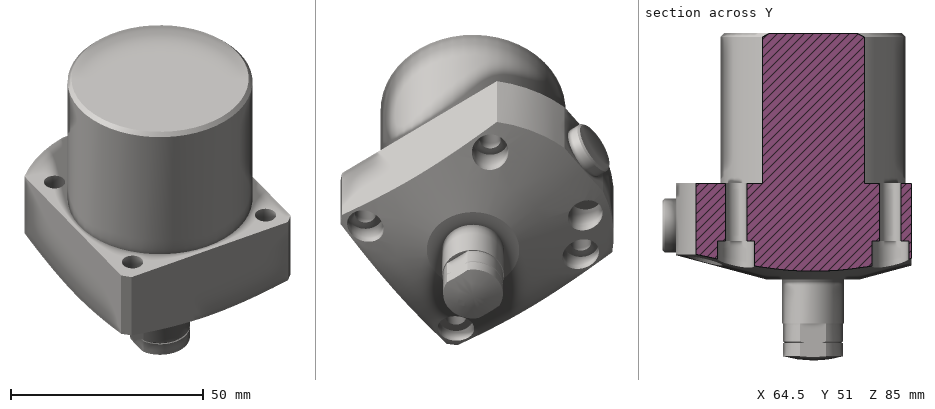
import cadquery as cq
import math


base_height = 25.0
base_half_width = 25.5
base_round_radius = 36.5
base_left = -35.5
base_right = 25.5
base_corner_chamfer = 2.0
cone_flat_radius = 12.0
cone_angle = 15.0
cylinder_diameter = 48.0
cylinder_height = 39.0
cylinder_chamfer = 1.0
hole_diameter = 5.5
hole_pitch = 40.0
counterbore_diameter = 9.5
counterbore_seat_z = 10.0

port_diameter = 9.0
port_x = -28.0
port_y = -11.0
port_end_z = 14.0

plug_diameter = 14.0
plug_length = 3.5
plug_chamfer = 0.5
plug_center_z = 14.0

stem_diameter = 16.0
stem_length = 11.4
nut_diameter = 15.5
flat_width = 14.0
collar_length = 5.1
collar_chamfer = 0.45
nut_length = 4.5
dome_height = 1.1


def make_base_blank():
    corner_x = -math.sqrt(base_round_radius**2 - base_half_width**2)
    left_half_width = math.sqrt(base_round_radius**2 - base_left**2)
    mid_angle = (math.atan2(base_half_width, corner_x) + math.atan2(left_half_width, base_left)) / 2
    arc_x = base_round_radius * math.cos(mid_angle)
    arc_y = base_round_radius * math.sin(mid_angle)
    right_half_width = base_half_width - base_corner_chamfer
    chamfer_x = base_right - base_corner_chamfer
    return (
        cq.Workplane("XY")
        .moveTo(base_left, -left_half_width)
        .threePointArc((arc_x, -arc_y), (corner_x, -base_half_width))
        .lineTo(chamfer_x, -base_half_width)
        .lineTo(base_right, -right_half_width)
        .lineTo(base_right, right_half_width)
        .lineTo(chamfer_x, base_half_width)
        .lineTo(corner_x, base_half_width)
        .threePointArc((arc_x, arc_y), (base_left, left_half_width))
        .close()
        .extrude(base_height)
    )


def make_cone_envelope():
    """Solid of revolution that gives the base its conical underside."""
    outer_radius = 2 * base_half_width
    cone_rise = (outer_radius - cone_flat_radius) * math.tan(math.radians(cone_angle))
    return (
        cq.Workplane("XZ")
        .moveTo(0, 0)
        .lineTo(cone_flat_radius, 0)
        .lineTo(outer_radius, cone_rise)
        .lineTo(outer_radius, base_height)
        .lineTo(0, base_height)
        .close()
        .revolve(360, (0, 0), (0, 1))
    )


def make_hole_pattern(diameter, height):
    """Four vertical round cutters at the bolt positions, rising from Z = 0."""
    return (
        cq.Workplane("XY")
        .rect(hole_pitch, hole_pitch, forConstruction=True)
        .vertices()
        .circle(diameter / 2)
        .extrude(height)
    )


def make_port():
    return (
        cq.Workplane("XY", origin=(port_x, port_y, 0))
        .circle(port_diameter / 2)
        .extrude(port_end_z)
    )


def make_cylinder():
    return (
        cq.Workplane("XY", origin=(0, 0, base_height))
        .circle(cylinder_diameter / 2)
        .extrude(cylinder_height)
        .faces(">Z")
        .chamfer(cylinder_chamfer)
    )


def make_housing():
    base = make_base_blank().intersect(make_cone_envelope())
    base = base.cut(make_hole_pattern(hole_diameter, base_height))
    base = base.cut(make_hole_pattern(counterbore_diameter, counterbore_seat_z))
    base = base.cut(make_port())
    return base.union(make_cylinder())


def make_plug():
    return (
        cq.Workplane("YZ", origin=(base_left, 0, plug_center_z))
        .circle(plug_diameter / 2)
        .extrude(-plug_length)
        .faces("<X")
        .chamfer(plug_chamfer)
    )


def cut_wrench_flats(body, top_z, height):
    """Keep the part of a round body that lies between two flats facing -Y and +Y."""
    between_flats = (
        cq.Workplane("XY", origin=(0, 0, top_z))
        .rect(2 * nut_diameter, flat_width)
        .extrude(-height)
    )
    return body.intersect(between_flats)


def make_stem():
    shank = cq.Workplane("XY").circle(stem_diameter / 2).extrude(-stem_length)
    collar = (
        cq.Workplane("XY", origin=(0, 0, -stem_length))
        .circle(nut_diameter / 2)
        .extrude(-collar_length)
        .faces("<Z")
        .chamfer(collar_chamfer)
    )
    return shank.union(cut_wrench_flats(collar, -stem_length, collar_length))


def make_nut():
    nut_top = -(stem_length + collar_length)
    nut_bottom = nut_top - nut_length
    nut_radius = nut_diameter / 2
    dome_radius = (nut_radius**2 + dome_height**2) / (2 * dome_height)
    half_angle = math.asin(nut_radius / dome_radius) / 2
    dome_mid = (
        dome_radius * math.sin(half_angle),
        nut_bottom + dome_radius * (1 - math.cos(half_angle)),
    )
    nut = (
        cq.Workplane("XZ")
        .moveTo(0, nut_top)
        .lineTo(nut_radius, nut_top)
        .lineTo(nut_radius, nut_bottom + dome_height)
        .threePointArc(dome_mid, (0, nut_bottom))
        .close()
        .revolve(360, (0, 0), (0, 1))
    )
    return cut_wrench_flats(nut, nut_top, nut_length)


housing = make_housing()
plug = make_plug()
stem = make_stem()
nut = make_nut()

bodies = [housing, plug, stem, nut]
result = cq.Compound.makeCompound([body.solids().val() for body in bodies])